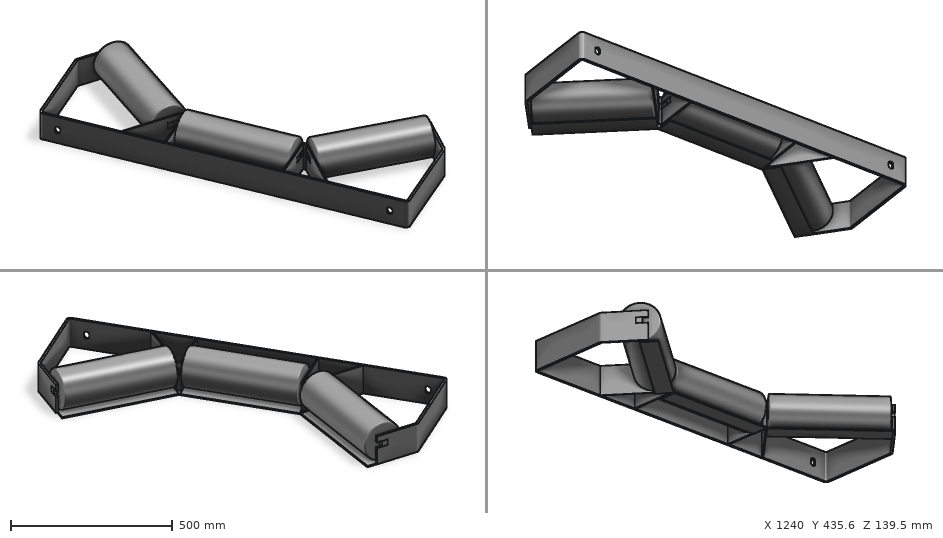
import cadquery as cq
import math

ROLLER_DIAMETER = 133.0
ROLLER_LENGTH = 380.0
ROLLER_EDGE_RADIUS = 5.0
SHAFT_SIDE = 20.0
END_GAP = 5.5
AXIS_HEIGHT = 68.0
TROUGH_ANGLE = 40.0
CENTRE_ROLLER_Y = 125.0
SIDE_ROLLER_X = 386.2
SIDE_ROLLER_Y = 264.53

FRAME_WIDTH = 1240.0
FRAME_HEIGHT = 100.0
FRAME_THICKNESS = 8.0
FRAME_BEND_RADIUS = 14.0
ARM_BEYOND_AXIS = 28.0
MOUNT_SLOT_SPACING = 1114.0
MOUNT_SLOT_WIDTH = 18.0
MOUNT_SLOT_HEIGHT = 26.0

BRACKET_THICKNESS = 5.0
BRACKET_TOP_Y = 167.0

STRIP_WIDTH = 59.0
STRIP_THICKNESS = 5.0

ANGLE = math.radians(TROUGH_ANGLE)
CARRIER_OFFSET = ROLLER_LENGTH / 2 + END_GAP
BRACKET_FAR_OFFSET = CARRIER_OFFSET + BRACKET_THICKNESS
ARM_OUTER_OFFSET = CARRIER_OFFSET + FRAME_THICKNESS


def left_point(along, across):
    """Plan point measured from the middle of the left roller, outwards along and rearwards across."""
    x = -SIDE_ROLLER_X - along * math.cos(ANGLE) + across * math.sin(ANGLE)
    y = SIDE_ROLLER_Y + along * math.sin(ANGLE) + across * math.cos(ANGLE)
    return (x, y)


def left_across_at_y(along, y):
    """Distance across the left roller at which the line at this distance along reaches y."""
    return (y - left_point(along, 0)[1]) / math.cos(ANGLE)


def left_across_at_x(along, x):
    """Distance across the left roller at which the line at this distance along reaches x."""
    return (x - left_point(along, 0)[0]) / math.sin(ANGLE)


def place_left(body):
    """Move a body lying along X at the origin to the left roller's place."""
    return body.rotate((0, 0, 0), (0, 0, 1), -TROUGH_ANGLE).translate((-SIDE_ROLLER_X, SIDE_ROLLER_Y, 0))


def place_centre(body):
    """Move a body lying along X at the origin to the centre roller's place."""
    return body.translate((0, CENTRE_ROLLER_Y, 0))


def mirror_right(body):
    """Mirror a body to the other side in X."""
    return body.mirror("YZ")


def shaft_slot(start, length, mouth):
    """Cutter from x = -start - length to x = -start, seating a shaft and open for a distance mouth in +Y."""
    seat = SHAFT_SIDE / 2
    return (
        cq.Workplane("XY", origin=(-start - length, -seat, AXIS_HEIGHT - seat))
        .box(length, seat + mouth, SHAFT_SIDE, centered=False)
    )


def make_roller(inner_reach, outer_reach):
    """Roller along X with its shaft reaching -X by outer_reach and +X by inner_reach."""
    drum = (
        cq.Workplane("YZ", origin=(-ROLLER_LENGTH / 2, 0, 0))
        .circle(ROLLER_DIAMETER / 2)
        .extrude(ROLLER_LENGTH)
        .faces("<X or >X")
        .edges()
        .fillet(ROLLER_EDGE_RADIUS)
    )
    shaft = (
        cq.Workplane("XY")
        .box(inner_reach + outer_reach, SHAFT_SIDE, SHAFT_SIDE)
        .translate(((inner_reach - outer_reach) / 2, 0, 0))
    )
    return drum.union(shaft).translate((0, 0, AXIS_HEIGHT))


def make_strip():
    """Flat strip under a roller, from below its axis towards +Y."""
    return (
        cq.Workplane("XY", origin=(0, 0, -STRIP_THICKNESS))
        .box(2 * CARRIER_OFFSET, STRIP_WIDTH, STRIP_THICKNESS, centered=(True, False, False))
    )


def round_upright_edges(body, corners, radius):
    """Round the vertical edges at these plan corners and at their mirror images in X."""
    for x, y in corners:
        for corner_x in (-x, x):
            edge = cq.selectors.NearestToPointSelector((corner_x, y, FRAME_HEIGHT / 2))
            body = body.edges(edge).fillet(radius)
    return body


def make_frame():
    """Strip on edge, bent into a front wall, two side walls and two arms for the outer shaft ends."""
    outer_x = -FRAME_WIDTH / 2
    inner_x = outer_x + FRAME_THICKNESS
    outer_corner = (outer_x, 0)
    inner_corner = (inner_x, FRAME_THICKNESS)
    outer_knee = left_point(ARM_OUTER_OFFSET, left_across_at_x(ARM_OUTER_OFFSET, outer_x))
    inner_knee = left_point(CARRIER_OFFSET, left_across_at_x(CARRIER_OFFSET, inner_x))
    left = [
        outer_corner,
        outer_knee,
        left_point(ARM_OUTER_OFFSET, ARM_BEYOND_AXIS),
        left_point(CARRIER_OFFSET, ARM_BEYOND_AXIS),
        inner_knee,
        inner_corner,
    ]
    right = [(-x, y) for x, y in reversed(left)]
    frame = cq.Workplane("XY").polyline(left + right).close().extrude(FRAME_HEIGHT)
    frame = round_upright_edges(frame, (outer_corner, outer_knee), FRAME_BEND_RADIUS)
    frame = round_upright_edges(frame, (inner_corner, inner_knee), FRAME_BEND_RADIUS - FRAME_THICKNESS)

    arm_slot = place_left(shaft_slot(CARRIER_OFFSET, FRAME_THICKNESS, ARM_BEYOND_AXIS))
    mount_slots = (
        cq.Workplane("XZ", origin=(0, 0, FRAME_HEIGHT / 2))
        .rarray(MOUNT_SLOT_SPACING, 1, 2, 1)
        .slot2D(MOUNT_SLOT_HEIGHT, MOUNT_SLOT_WIDTH, 90)
        .extrude(-FRAME_THICKNESS)
    )
    return frame.cut(arm_slot).cut(mirror_right(arm_slot)).cut(mount_slots)


def make_left_bracket():
    """Sheet folded into a leg beside the centre roller, a narrow top and a leg beside the left roller."""
    foot_y = FRAME_THICKNESS
    under_y = BRACKET_TOP_Y - BRACKET_THICKNESS

    def side_leg_point(offset, y):
        """Point at this y on the face this far inwards along the left roller's axis."""
        return left_point(-offset, left_across_at_y(-offset, y))

    outline = [
        (-CARRIER_OFFSET, foot_y),
        (-CARRIER_OFFSET, BRACKET_TOP_Y),
        side_leg_point(CARRIER_OFFSET, BRACKET_TOP_Y),
        side_leg_point(CARRIER_OFFSET, foot_y),
        side_leg_point(BRACKET_FAR_OFFSET, foot_y),
        side_leg_point(BRACKET_FAR_OFFSET, under_y),
        (-BRACKET_FAR_OFFSET, under_y),
        (-BRACKET_FAR_OFFSET, foot_y),
    ]
    bracket = cq.Workplane("XY").polyline(outline).close().extrude(FRAME_HEIGHT)
    slot = shaft_slot(CARRIER_OFFSET, BRACKET_THICKNESS, BRACKET_TOP_Y)
    return bracket.cut(place_centre(slot)).cut(place_left(mirror_right(slot)))


frame = make_frame()
left_bracket = make_left_bracket()
centre_roller = place_centre(make_roller(BRACKET_FAR_OFFSET, BRACKET_FAR_OFFSET))
left_roller = place_left(make_roller(BRACKET_FAR_OFFSET, ARM_OUTER_OFFSET))
centre_strip = place_centre(make_strip())
left_strip = place_left(make_strip())

bodies = [frame, centre_roller, centre_strip]
for left_body in (left_bracket, left_roller, left_strip):
    bodies += [left_body, mirror_right(left_body)]

result = cq.Compound.makeCompound([body.val() for body in bodies])